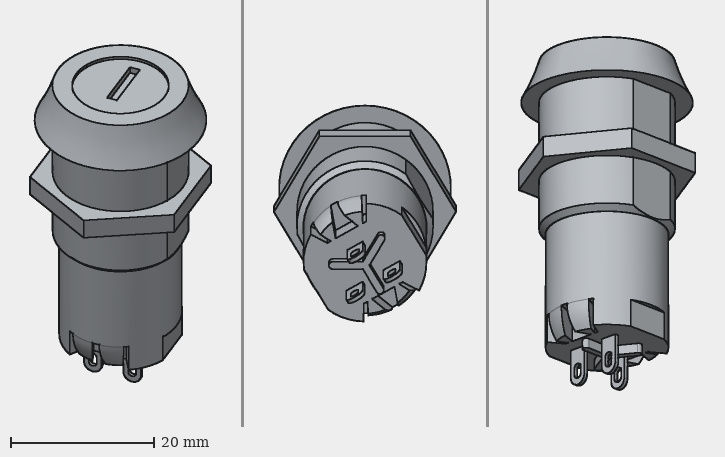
import cadquery as cq
import math


TOTAL_HEIGHT = 48.5
BEZEL_HEIGHT = 6.0
BEZEL_BOTTOM = TOTAL_HEIGHT - BEZEL_HEIGHT
HOUSING_BOTTOM = 22.55
BARREL_BOTTOM = 9.5
BASE_BOTTOM = 5.5
BASE_HEIGHT = BARREL_BOTTOM - BASE_BOTTOM

BEZEL_RADIUS = 12.005
BEZEL_HOLLOW = 0.2
HOUSING_RADIUS = 9.5
HOUSING_FLATS = 17.5
HOUSING_CHAMFER = 0.85

NUT_ACROSS_FLATS = 22.0
NUT_HEIGHT = 3.0
NUT_BOTTOM = 30.6

ROTOR_RADIUS = 6.75
ROTOR_RECESS = 0.45
KEY_SLOT_WIDTH = 1.5
KEY_SLOT_LENGTH = 7.9
KEY_SLOT_DEPTH = 0.95
KEY_SLOT_OFFSET = 1.0
BARREL_RADIUS = 8.6

BASE_FLATS = 15.8
NOTCH_FLOOR = 5.1
NOTCH_HALF_ANGLE = 31.5
LUG_HALF_ANGLE = 26.8
LUG_FOOT_RADIUS = 7.4
LUG_GAP = 1.05
LUG_GAP_FLARE = 20.0

BOSS_HEIGHT = 1.4
BOSS_ARM_WIDTH = 1.05
BOSS_SIDE_REACH = 4.5
BOSS_FRONT_REACH = 4.15
BOSS_ARMS = {-90: BOSS_FRONT_REACH, 30: BOSS_SIDE_REACH, 150: BOSS_SIDE_REACH}

SIDE_TERMINAL_X = 3.0
SIDE_TERMINAL_Y = -2.5
SIDE_TERMINAL_WIDTH = 2.65
SIDE_TERMINAL_THICKNESS = 0.6
SIDE_HOLE_WIDTH = 1.2
CENTER_TERMINAL_Y = 2.45
CENTER_TERMINAL_WIDTH = 2.5
CENTER_TERMINAL_THICKNESS = 0.7
CENTER_HOLE_WIDTH = 1.35
TERMINAL_HOLE_LENGTH = 2.2
TERMINAL_HOLE_BOTTOM = 0.95


def cylinder(radius, bottom, top):
    return cq.Workplane("XY").workplane(offset=bottom).circle(radius).extrude(top - bottom)


def slab(width_x, bottom, top):
    """Block centred on the axis that trims a round part to two flats facing -X and +X."""
    length_y = 2 * BEZEL_RADIUS
    block = cq.Workplane("XY").box(width_x, length_y, top - bottom, centered=(True, True, False))
    return block.translate((0, 0, bottom))


def make_bezel():
    """Flared head with a slightly hollow flank."""
    middle = ((BEZEL_RADIUS + HOUSING_RADIUS) / 2 - BEZEL_HOLLOW, TOTAL_HEIGHT - BEZEL_HEIGHT / 2)
    return (
        cq.Workplane("XZ")
        .moveTo(0, BEZEL_BOTTOM)
        .lineTo(BEZEL_RADIUS, BEZEL_BOTTOM)
        .threePointArc(middle, (HOUSING_RADIUS, TOTAL_HEIGHT))
        .lineTo(0, TOTAL_HEIGHT)
        .close()
        .revolve(360, (0, 0), (0, 1))
    )


def make_shank():
    """Housing below the bezel: chamfered at its lower end and trimmed by two flats."""
    shank = cylinder(HOUSING_RADIUS, HOUSING_BOTTOM, BEZEL_BOTTOM).faces("<Z").chamfer(HOUSING_CHAMFER)
    return shank.intersect(slab(HOUSING_FLATS, HOUSING_BOTTOM, BEZEL_BOTTOM))


def make_housing():
    return make_bezel().union(make_shank()).cut(cylinder(ROTOR_RADIUS, HOUSING_BOTTOM, TOTAL_HEIGHT))


def make_nut():
    """Hexagon nut with a round hole for the shank and two corners on the Y axis."""
    corner_turn = 30
    across_corners = NUT_ACROSS_FLATS / math.cos(math.radians(corner_turn))
    nut_top = NUT_BOTTOM + NUT_HEIGHT
    hexagon = (
        cq.Workplane("XY")
        .workplane(offset=NUT_BOTTOM)
        .transformed(rotate=(0, 0, corner_turn))
        .polygon(6, across_corners)
        .extrude(NUT_HEIGHT)
    )
    return hexagon.cut(cylinder(HOUSING_RADIUS, NUT_BOTTOM, nut_top))


def make_rotor():
    """Round insert in the housing bore, with the key slot in its recessed face."""
    face = TOTAL_HEIGHT - ROTOR_RECESS
    key_slot = (
        cq.Workplane("XY")
        .workplane(offset=face - KEY_SLOT_DEPTH)
        .center(0, KEY_SLOT_OFFSET)
        .rect(KEY_SLOT_WIDTH, KEY_SLOT_LENGTH)
        .extrude(KEY_SLOT_DEPTH)
    )
    return cylinder(ROTOR_RADIUS, HOUSING_BOTTOM, face).cut(key_slot)


def base_prism(points):
    return cq.Workplane("XY").workplane(offset=BASE_BOTTOM).polyline(points).close().extrude(BASE_HEIGHT)


def radial_x(angle_from_y, y):
    return y * math.tan(math.radians(angle_from_y))


def make_notch():
    """Sector-shaped notch on the +Y side, with radial walls and a flat floor."""
    outer = BARREL_RADIUS
    inner_x = radial_x(NOTCH_HALF_ANGLE, NOTCH_FLOOR)
    outer_x = radial_x(NOTCH_HALF_ANGLE, outer)
    return base_prism(
        [(-inner_x, NOTCH_FLOOR), (inner_x, NOTCH_FLOOR), (outer_x, outer), (-outer_x, outer)]
    )


def make_lug_pair():
    """Two lugs inside the +Y notch, curving inward from the barrel down to their feet."""
    drop = BARREL_RADIUS - LUG_FOOT_RADIUS
    arc_radius = (drop**2 + BASE_HEIGHT**2) / (2 * drop)
    half_sweep = math.asin(BASE_HEIGHT / arc_radius) / 2
    middle = (
        BARREL_RADIUS - arc_radius * (1 - math.cos(half_sweep)),
        BARREL_BOTTOM - arc_radius * math.sin(half_sweep),
    )
    rounded_base = (
        cq.Workplane("XZ")
        .moveTo(0, BASE_BOTTOM)
        .lineTo(LUG_FOOT_RADIUS, BASE_BOTTOM)
        .threePointArc(middle, (BARREL_RADIUS, BARREL_BOTTOM))
        .lineTo(0, BARREL_BOTTOM)
        .close()
        .revolve(360, (0, 0), (0, 1))
    )
    gap_x = LUG_GAP / 2
    floor_gap_x = gap_x + radial_x(LUG_GAP_FLARE, BARREL_RADIUS - NOTCH_FLOOR)
    plan = base_prism(
        [
            (floor_gap_x, NOTCH_FLOOR),
            (gap_x, BARREL_RADIUS),
            (radial_x(LUG_HALF_ANGLE, BARREL_RADIUS), BARREL_RADIUS),
            (radial_x(LUG_HALF_ANGLE, NOTCH_FLOOR), NOTCH_FLOOR),
        ]
    )
    lug = rounded_base.intersect(plan)
    return lug.union(lug.mirror("YZ"))


def make_base():
    base = cylinder(BARREL_RADIUS, BASE_BOTTOM, BARREL_BOTTOM)
    base = base.intersect(slab(BASE_FLATS, BASE_BOTTOM, BARREL_BOTTOM))
    notch = make_notch()
    lugs = make_lug_pair()
    for turn in (0, 180):
        base = base.cut(notch.rotate((0, 0, 0), (0, 0, 1), turn))
        base = base.union(lugs.rotate((0, 0, 0), (0, 0, 1), turn))
    return base


def make_boss():
    """Three arms with rounded ends meeting on the axis."""
    boss_bottom = BASE_BOTTOM - BOSS_HEIGHT
    boss = cylinder(BOSS_ARM_WIDTH / 2, boss_bottom, BASE_BOTTOM)
    for direction, reach in BOSS_ARMS.items():
        arm = (
            cq.Workplane("XY")
            .workplane(offset=boss_bottom)
            .center(reach / 2, 0)
            .slot2D(reach + BOSS_ARM_WIDTH, BOSS_ARM_WIDTH)
            .extrude(BOSS_HEIGHT)
        )
        boss = boss.union(arm.rotate((0, 0, 0), (0, 0, 1), direction))
    return boss


def make_terminal(x, y, width, thickness, hole_width):
    """Flat solder tag with a round tip at Z = 0 and an upright oblong hole."""
    tip_radius = width / 2
    hole_middle = TERMINAL_HOLE_BOTTOM + TERMINAL_HOLE_LENGTH / 2
    tag = (
        cq.Workplane("XZ")
        .moveTo(-tip_radius, BASE_BOTTOM)
        .lineTo(-tip_radius, tip_radius)
        .threePointArc((0, 0), (tip_radius, tip_radius))
        .lineTo(tip_radius, BASE_BOTTOM)
        .close()
        .extrude(thickness / 2, both=True)
    )
    hole = (
        cq.Workplane("XZ")
        .center(0, hole_middle)
        .slot2D(TERMINAL_HOLE_LENGTH, hole_width, 90)
        .extrude(thickness, both=True)
    )
    return tag.cut(hole).translate((x, y, 0))


def make_lock_core():
    core = make_rotor().union(cylinder(BARREL_RADIUS, BARREL_BOTTOM, HOUSING_BOTTOM))
    core = core.union(make_base()).union(make_boss())
    for x in (-SIDE_TERMINAL_X, SIDE_TERMINAL_X):
        core = core.union(
            make_terminal(x, SIDE_TERMINAL_Y, SIDE_TERMINAL_WIDTH, SIDE_TERMINAL_THICKNESS, SIDE_HOLE_WIDTH)
        )
    return core.union(
        make_terminal(
            0, CENTER_TERMINAL_Y, CENTER_TERMINAL_WIDTH, CENTER_TERMINAL_THICKNESS, CENTER_HOLE_WIDTH
        )
    )


housing = make_housing()
nut = make_nut()
lock_core = make_lock_core()

result = cq.Compound.makeCompound([housing.val(), nut.val(), lock_core.val()])